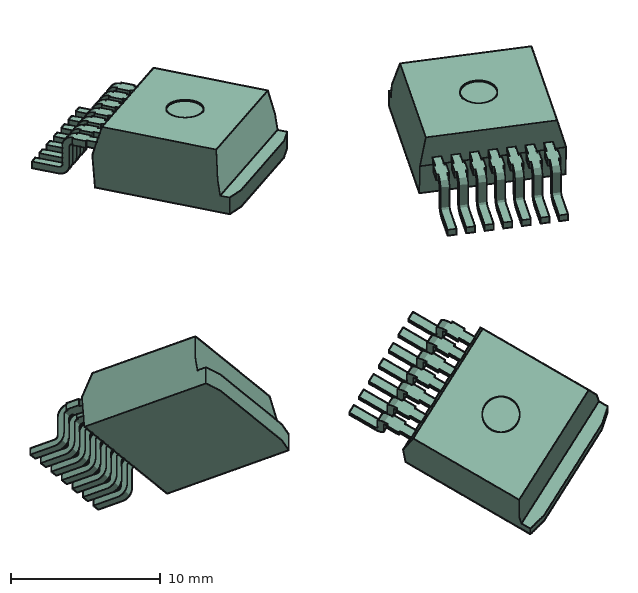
import cadquery as cq

overall_length = 15.0
body_width = 10.0
body_height = 4.42

parting_height = 2.45
parting_start = 4.74
base_start = 4.94
top_start = 5.24
top_end = 13.52
top_side_inset = 0.51

tab_thickness = 1.28
tab_start = 14.01
tab_corner_length = 0.3
tab_corner_width = 1.28

rear_slope = (tab_start - top_end) / (body_height - tab_thickness)
parting_end = top_end + rear_slope * (body_height - parting_height)

mark_diameter = 2.5
mark_depth = 0.1

lead_count = 7
lead_pitch = 1.27
lead_width = 0.62
lead_thickness = 0.51
riser_start = 2.2
inner_bend_radius = 0.25
outer_bend_radius = inner_bend_radius + lead_thickness
shoulder_start = 3.0
shoulder_length = 0.98
shoulder_width = 0.88
lead_embedment = 0.22

riser_end = riser_start + lead_thickness
lead_top = parting_height + lead_thickness
lead_end = top_start + lead_embedment


def plate(profile, width):
    """Extrude a closed XZ profile to the given width, centred on Y = 0."""
    return profile.extrude(width / 2, both=True)


def make_lower_body():
    """Lower half: tapered end walls, upright side walls."""
    profile = (
        cq.Workplane("XZ")
        .moveTo(base_start, 0)
        .lineTo(tab_start, 0)
        .lineTo(tab_start, tab_thickness)
        .lineTo(parting_end, parting_height)
        .lineTo(parting_start, parting_height)
        .close()
    )
    return plate(profile, body_width)


def make_upper_body():
    """Upper half: all four walls lean inward from the parting plane to the top face."""
    parting_length = parting_end - parting_start
    parting_centre = (parting_start + parting_end) / 2
    top_length = top_end - top_start
    top_centre = (top_start + top_end) / 2
    return (
        cq.Workplane("XY", origin=(parting_centre, 0, parting_height))
        .rect(parting_length, body_width)
        .workplane(offset=body_height - parting_height)
        .center(top_centre - parting_centre, 0)
        .rect(top_length, body_width - 2 * top_side_inset)
        .loft(ruled=True)
    )


def make_tab():
    """Tab across the full body width with its two outer corners cut back."""
    half_width = body_width / 2
    corner_x = overall_length - tab_corner_length
    corner_y = half_width - tab_corner_width
    return (
        cq.Workplane("XY")
        .moveTo(tab_start, -half_width)
        .lineTo(corner_x, -half_width)
        .lineTo(overall_length, -corner_y)
        .lineTo(overall_length, corner_y)
        .lineTo(corner_x, half_width)
        .lineTo(tab_start, half_width)
        .close()
        .extrude(tab_thickness)
    )


def make_mark():
    """Shallow cylinder to remove at the middle of the top face."""
    return (
        cq.Workplane("XY", origin=((top_start + top_end) / 2, 0, body_height - mark_depth))
        .circle(mark_diameter / 2)
        .extrude(mark_depth)
    )


def make_lead():
    """One S-bent lead with a wider shoulder on its upper run."""
    profile = (
        cq.Workplane("XZ")
        .lineTo(riser_end - outer_bend_radius, 0)
        .radiusArc((riser_end, outer_bend_radius), -outer_bend_radius)
        .lineTo(riser_end, parting_height - inner_bend_radius)
        .radiusArc((riser_end + inner_bend_radius, parting_height), inner_bend_radius)
        .lineTo(lead_end, parting_height)
        .lineTo(lead_end, lead_top)
        .lineTo(riser_start + outer_bend_radius, lead_top)
        .radiusArc((riser_start, lead_top - outer_bend_radius), -outer_bend_radius)
        .lineTo(riser_start, lead_thickness + inner_bend_radius)
        .radiusArc((riser_start - inner_bend_radius, lead_thickness), inner_bend_radius)
        .lineTo(0, lead_thickness)
        .close()
    )
    shoulder = (
        cq.Workplane("XY", origin=(shoulder_start, 0, parting_height))
        .box(shoulder_length, shoulder_width, lead_thickness, centered=(False, True, False))
    )
    return plate(profile, lead_width).union(shoulder)


result = make_lower_body().union(make_upper_body()).union(make_tab()).cut(make_mark())

lead = make_lead()
first_lead_y = -lead_pitch * (lead_count - 1) / 2
for index in range(lead_count):
    result = result.union(lead.translate((0, first_lead_y + index * lead_pitch, 0)))